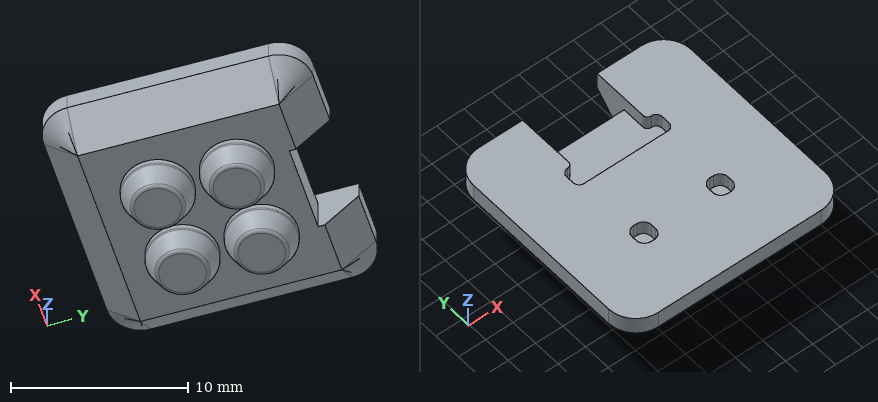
import cadquery as cq

plate_width = 15.9
total_height = 5.0
corner_radius = 2.0
rim_height = 1.25
bevel = corner_radius
base_width = plate_width - 2 * bevel
rim_bottom = -rim_height
base_bottom = rim_bottom - bevel

pin_diameter = 4.25
pin_tip_diameter = 2.99
pin_spacing = 4.67
pin_height = total_height + base_bottom
pin_straight_height = 0.41
pin_tip_rounding = 0.25
pin_shoulder_rounding = 0.25

recess_depth = 1.0
slot_width = 5.44
slot_through_start = 5.55
pocket_width = 7.0
pocket_front = 2.1
pocket_length = 1.46
pocket_rounding = 0.43
neck_rounding = 0.33
hole_width = 1.4
hole_length = 1.53
hole_rounding = 0.59
hole_y = -2.86
hole_x = (pocket_width - hole_width) / 2


def bevelled_bar():
    """Bar along Y with both long lower edges cut at 45 degrees."""
    half_top = plate_width / 2
    half_base = base_width / 2
    return (
        cq.Workplane("XZ")
        .moveTo(-half_top, 0)
        .lineTo(half_top, 0)
        .lineTo(half_top, rim_bottom)
        .lineTo(half_base, base_bottom)
        .lineTo(-half_base, base_bottom)
        .lineTo(-half_top, rim_bottom)
        .close()
        .extrude(base_width / 2, both=True)
    )


def plate_corner():
    """Round rim corner that narrows to a point at the base corner."""
    return (
        cq.Workplane("XZ")
        .lineTo(corner_radius, 0)
        .lineTo(corner_radius, rim_bottom)
        .lineTo(0, base_bottom)
        .close()
        .revolve(360, (0, 0, 0), (0, 1, 0))
    )


def make_plate():
    bar = bevelled_bar()
    plate = bar.union(bar.rotate((0, 0, 0), (0, 0, 1), 90))
    corner = plate_corner()
    for x in (-base_width / 2, base_width / 2):
        for y in (-base_width / 2, base_width / 2):
            plate = plate.union(corner.translate((x, y, 0)))
    return plate


def make_pin():
    """Pin with a straight collar and a tapered, rounded tip, starting at z = 0."""
    pin = (
        cq.Workplane("XZ")
        .lineTo(pin_diameter / 2, 0)
        .lineTo(pin_diameter / 2, -pin_straight_height)
        .lineTo(pin_tip_diameter / 2, -pin_height)
        .lineTo(0, -pin_height)
        .close()
        .revolve(360, (0, 0, 0), (0, 1, 0))
    )
    pin = pin.faces("<Z").edges().fillet(pin_tip_rounding)
    shoulder = cq.selectors.NearestToPointSelector((0, 0, -pin_straight_height))
    return pin.edges("%CIRCLE").edges(shoulder).fillet(pin_shoulder_rounding)


def make_slot():
    """T-shaped recess: a rounded pocket that opens to the +Y side through a slot."""
    plate_back = plate_width / 2
    pocket_back = pocket_front + pocket_length
    recess = (
        cq.Workplane("XY")
        .moveTo(-pocket_width / 2, pocket_front)
        .lineTo(pocket_width / 2, pocket_front)
        .lineTo(pocket_width / 2, pocket_back)
        .lineTo(slot_width / 2, pocket_back)
        .lineTo(slot_width / 2, plate_back)
        .lineTo(-slot_width / 2, plate_back)
        .lineTo(-slot_width / 2, pocket_back)
        .lineTo(-pocket_width / 2, pocket_back)
        .close()
        .extrude(-recess_depth)
    )
    for x in (-slot_width / 2, slot_width / 2):
        neck_edge = cq.selectors.NearestToPointSelector((x, pocket_back, -recess_depth / 2))
        recess = recess.edges("|Z").edges(neck_edge).fillet(neck_rounding)
    recess = recess.faces("<X or >X").edges("|Z").fillet(pocket_rounding)

    through_length = plate_back - slot_through_start
    through_slot = (
        cq.Workplane("XY")
        .center(0, slot_through_start + through_length / 2)
        .rect(slot_width, through_length)
        .extrude(base_bottom)
    )
    return recess.union(through_slot)


def make_holes():
    return (
        cq.Workplane("XY")
        .pushPoints([(-hole_x, hole_y), (hole_x, hole_y)])
        .rect(hole_width, hole_length)
        .extrude(-recess_depth)
        .edges("|Z")
        .fillet(hole_rounding)
    )


result = make_plate()
pin = make_pin()
for pin_x in (-pin_spacing / 2, pin_spacing / 2):
    for pin_y in (-pin_spacing / 2, pin_spacing / 2):
        result = result.union(pin.translate((pin_x, pin_y, base_bottom)))
result = result.cut(make_slot()).cut(make_holes())